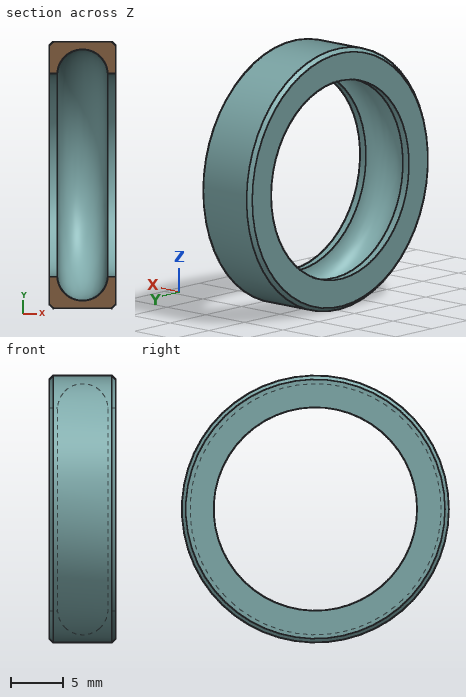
import cadquery as cq

outer_diameter = 25.4
bore_diameter = 19.3
width = 6.35
edge_chamfer = 0.38

groove_width = 4.78
groove_depth = 2.29

outer_radius = outer_diameter / 2
bore_radius = bore_diameter / 2


def ring_body():
    """Plain ring with both outer rims chamfered."""
    ring = (
        cq.Workplane("YZ", origin=(-width / 2, 0, 0))
        .circle(outer_radius)
        .circle(bore_radius)
        .extrude(width)
    )
    outer_rims = ring.faces("<X or >X").edges(cq.selectors.RadiusNthSelector(-1))
    return outer_rims.chamfer(edge_chamfer)


def ball_groove():
    """Revolved cutter whose arc hollows the bore wall."""
    return (
        cq.Workplane("XY")
        .moveTo(-groove_width / 2, 0)
        .lineTo(-groove_width / 2, bore_radius)
        .threePointArc((0, bore_radius + groove_depth), (groove_width / 2, bore_radius))
        .lineTo(groove_width / 2, 0)
        .close()
        .revolve(360, (0, 0, 0), (1, 0, 0))
    )


result = ring_body().cut(ball_groove())